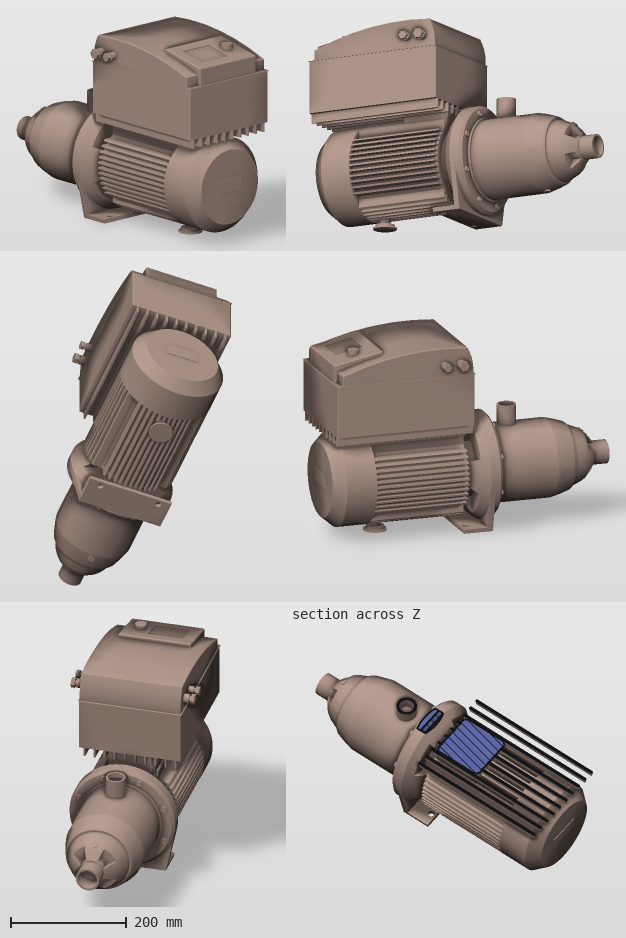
import cadquery as cq
import math


inlet_length = 27.0
nose_end = 73.0
shoulder_start = 76.5
shoulder_end = 110.0
sleeve_end = 213.0
flange_front = 219.0
bracket_front = 232.5
bracket_back = 242.0
lantern_end = 269.0
motor_front = 277.5
motor_back = 447.0
cover_shoulder = 502.0
cover_back = 522.8
overall_length = 524.0

inlet_radius = 21.0
inlet_bore_radius = 17.5
nose_front_radius = 23.0
nose_mid = (46.0, 43.5)
nose_end_radius = 54.6
shoulder_step_radius = 58.0
shoulder_start_radius = 60.5
shoulder_mid = (94.0, 66.2)
sleeve_radius = 70.0
collar_radius = 74.0
collar_thickness = 3.0
collar_neck_radius = 71.0
flange_radius = 95.0
flange_chamfer = 5.0

outlet_x = 181.8
outlet_top = 104.0
outlet_radius = 16.9
outlet_bore_radius = 14.0

nose_pocket_angle = 42.0
nose_pocket_floor_radius = 22.5
nose_pocket_back = 45.0
nose_pocket_fillet = 2.0

plug_radius = 5.7
vent_plug_top = (45.2, 45.0)
vent_plug_tilt = 41.0
vent_plug_length = 8.0
drain_plug_x = 100.0
drain_plug_bottom = -70.0
drain_plug_length = 15.0

screw_count = 8
screw_circle_radius = 82.5
screw_head_radius = 5.0
screw_head_height = 4.0
screw_socket_radius = 2.5
screw_socket_depth = 2.0

base_z = -100.0
foot_half_width = 75.5
foot_thickness = 7.5
foot_back = 285.0
foot_hole_radius = 5.5
foot_hole_y = 54.0
foot_hole_x = 276.0

lantern_mid = (258.5, 79.5)
lantern_end_radius = 59.0
window_front = 255.5
window_floor_radius = 54.5
window_angle = 45.0

spigot_radius = 60.5
core_radius = 73.0
fin_tip_radius = 84.3
fin_thickness = 3.2
fin_pitch = 9.5
fins_each_side = 5

saddle_back = 366.5
saddle_half_width = 42.5
saddle_top = 95.0
saddle_chamfer = 6.0

support_x = 422.5
support_stem_radius = 9.5
support_pad_radius = 16.5
support_base_radius = 20.5
support_pad_top = -92.0
support_base_top = -97.0

cover_radius = 84.6
cover_back_radius = 66.5
badge_half_width = 28.0
badge_bottom = -8.0
badge_top = 16.0

box_front = 271.0
box_back = 521.8
box_half_width = 91.5
box_bottom = 99.4
box_top = 192.0
box_edge_fillet = 2.0

lip_overhang = 1.4
lip_thickness = 0.3

heatsink_fin_count = 10
heatsink_fin_pitch = 18.2
heatsink_fin_thickness = 3.6
heatsink_fin_fillet = 1.2
heatsink_fin_bottom = 83.2

lid_front = 273.0
lid_front_mid = (276.5, 223.0)
lid_crest_front = 284.0
lid_back = 512.5
lid_half_width = 91.0
lid_peak_x = 334.0
lid_peak_z = 243.46
lid_crown_radius = 500.0
lid_edge_fillet = 2.0

panel_front = 430.0
panel_back = 519.5
panel_half_width = 65.5
panel_front_top = 241.5
panel_slope = 11.7
panel_edge_fillet = 2.0

screen_front = 450.8
screen_back = 500.0
screen_low_y = -44.5
screen_high_y = 17.5
screen_depth = 1.5

button_x = 475.0
button_y = 37.0
button_radius = 9.9
button_top = 241.2
button_length = 15.0

gland_tip_y = 111.0
gland_head_start = 104.0
gland_barrel_end = 101.0
gland_z = 212.8
large_gland = (296.0, 15.8, 8.2, 5.0)
small_gland = (326.0, 13.0, 6.9, 4.3)


def box_between(x0, x1, y0, y1, z0, z1):
    """Block given by its limits along each axis."""
    return cq.Workplane("XY").box(x1 - x0, y1 - y0, z1 - z0, centered=False).translate((x0, y0, z0))


def shaft_cylinder(radius, x0, x1, y=0.0, z=0.0):
    """Cylinder parallel to the shaft axis."""
    return cq.Workplane("YZ", origin=(x0, y, z)).circle(radius).extrude(x1 - x0)


def upright_cylinder(radius, x, y, z0, z1):
    """Cylinder parallel to the Z axis."""
    return cq.Workplane("XY", origin=(x, y, z0)).circle(radius).extrude(z1 - z0)


def revolve_about_shaft(profile):
    """Full turn of an XY profile about the X axis."""
    return profile.close().revolve(360, (0, 0, 0), (1, 0, 0))


def diagonal_pockets(x0, x1, floor_radius, outer_radius, angle):
    """Four wedge-shaped cutters with a round floor, one on each diagonal."""
    reach = outer_radius / math.cos(math.radians(angle / 2))
    half = math.radians(angle / 2)
    pockets = cq.Workplane("YZ")
    for quarter in range(4):
        middle = math.radians(45 + 90 * quarter)
        corners = [(reach * math.cos(a), reach * math.sin(a)) for a in (middle - half, middle + half)]
        wedge = cq.Workplane("YZ", origin=(x0, 0, 0)).polyline([(0, 0)] + corners).close().extrude(x1 - x0)
        pockets = pockets.add(wedge)
    return pockets.combine().cut(shaft_cylinder(floor_radius, x0, x1))


def make_casing():
    """Pump casing with inlet, outlet, plugs and the screwed end flange."""
    profile = (
        cq.Workplane("XY")
        .moveTo(0, 0)
        .lineTo(0, inlet_radius)
        .lineTo(inlet_length, inlet_radius)
        .lineTo(inlet_length, nose_front_radius)
        .threePointArc(nose_mid, (nose_end, nose_end_radius))
        .lineTo(nose_end, shoulder_step_radius)
        .lineTo(shoulder_start, shoulder_start_radius)
        .threePointArc(shoulder_mid, (shoulder_end, sleeve_radius))
        .lineTo(sleeve_end, sleeve_radius)
        .lineTo(sleeve_end, collar_radius)
        .lineTo(sleeve_end + collar_thickness, collar_radius)
        .lineTo(sleeve_end + collar_thickness, collar_neck_radius)
        .lineTo(flange_front, collar_neck_radius)
        .lineTo(flange_front, flange_radius - flange_chamfer)
        .lineTo(flange_front + flange_chamfer, flange_radius)
        .lineTo(bracket_front, flange_radius)
        .lineTo(bracket_front, 0)
    )
    casing = revolve_about_shaft(profile)
    pockets = diagonal_pockets(
        0, nose_pocket_back, nose_pocket_floor_radius, sleeve_radius, nose_pocket_angle
    )
    casing = casing.cut(pockets.faces(">X").edges().fillet(nose_pocket_fillet))

    casing = casing.union(upright_cylinder(outlet_radius, outlet_x, 0, 0, outlet_top))
    casing = casing.cut(upright_cylinder(outlet_bore_radius, outlet_x, 0, sleeve_radius, outlet_top))
    casing = casing.cut(shaft_cylinder(inlet_bore_radius, 0, inlet_length))

    tilt = math.radians(vent_plug_tilt)
    inward = (math.sin(tilt), 0, -math.cos(tilt))
    vent_plane = cq.Plane(origin=(vent_plug_top[0], 0, vent_plug_top[1]), xDir=(0, 1, 0), normal=inward)
    casing = casing.union(cq.Workplane(vent_plane).circle(plug_radius).extrude(vent_plug_length))
    casing = casing.union(
        upright_cylinder(
            plug_radius, drain_plug_x, 0, drain_plug_bottom, drain_plug_bottom + drain_plug_length
        )
    )

    head_front = flange_front - screw_head_height
    for index in range(screw_count):
        angle = 2 * math.pi * (index + 0.5) / screw_count
        y = screw_circle_radius * math.cos(angle)
        z = screw_circle_radius * math.sin(angle)
        casing = casing.union(shaft_cylinder(screw_head_radius, head_front, flange_front, y, z))
        casing = casing.cut(
            shaft_cylinder(screw_socket_radius, head_front, head_front + screw_socket_depth, y, z)
        )
    return casing


def make_bracket(lantern):
    """Disc with tangent sides running down to a foot plate, relieved under the lantern rim."""
    corner_distance = math.hypot(foot_half_width, base_z)
    corner_angle = math.atan2(base_z, foot_half_width)
    tangent_angle = corner_angle + math.acos(flange_radius / corner_distance)
    tangent_y = flange_radius * math.cos(tangent_angle)
    tangent_z = flange_radius * math.sin(tangent_angle)
    profile = (
        cq.Workplane("YZ", origin=(bracket_front, 0, 0))
        .moveTo(-foot_half_width, base_z)
        .lineTo(foot_half_width, base_z)
        .lineTo(tangent_y, tangent_z)
        .threePointArc((0, flange_radius), (-tangent_y, tangent_z))
        .close()
    )
    bracket = profile.extrude(foot_back - bracket_front)
    foot_top = base_z + foot_thickness
    bracket = bracket.cut(
        box_between(bracket_back, foot_back, -flange_radius, flange_radius, foot_top, flange_radius)
    )
    for side in (-1, 1):
        bracket = bracket.cut(
            upright_cylinder(foot_hole_radius, foot_hole_x, side * foot_hole_y, base_z, foot_top)
        )
    return bracket.cut(lantern)


def make_lantern():
    """Domed lantern between bracket and motor, with four windows on the diagonals."""
    profile = (
        cq.Workplane("XY")
        .moveTo(bracket_back, 0)
        .lineTo(bracket_back, flange_radius)
        .threePointArc(lantern_mid, (lantern_end, lantern_end_radius))
        .lineTo(lantern_end, 0)
    )
    windows = diagonal_pockets(
        window_front, lantern_end, window_floor_radius, flange_radius, window_angle
    )
    return revolve_about_shaft(profile).cut(windows)


def make_motor():
    """Finned motor with its front spigot, the converter saddle and the rear support."""
    fins = shaft_cylinder(core_radius, motor_front, motor_back)
    half = fin_thickness / 2
    for index in range(-fins_each_side, fins_each_side + 1):
        offset = index * fin_pitch
        low, high = offset - half, offset + half
        tip = fin_tip_radius
        fins = fins.union(box_between(motor_front, motor_back, -tip, tip, low, high))
        fins = fins.union(box_between(motor_front, motor_back, low, high, -tip, tip))
    motor = fins.intersect(shaft_cylinder(fin_tip_radius, motor_front, motor_back))
    motor = motor.union(shaft_cylinder(spigot_radius, lantern_end, motor_front))

    saddle = box_between(
        motor_front, saddle_back, -saddle_half_width, saddle_half_width, 0, saddle_top
    )
    motor = motor.union(saddle.edges("|Z").chamfer(saddle_chamfer))

    support = upright_cylinder(support_stem_radius, support_x, 0, base_z, -core_radius)
    support = support.union(
        upright_cylinder(support_pad_radius, support_x, 0, support_base_top, support_pad_top)
    )
    support = support.union(
        upright_cylinder(support_base_radius, support_x, 0, base_z, support_base_top)
    )
    return motor.union(support)


def make_fan_cover():
    """Fan cover with a conical back and a shallow badge."""
    profile = (
        cq.Workplane("XY")
        .moveTo(motor_back, 0)
        .lineTo(motor_back, cover_radius)
        .lineTo(cover_shoulder, cover_radius)
        .lineTo(cover_back, cover_back_radius)
        .lineTo(cover_back, 0)
    )
    badge = box_between(
        cover_back, overall_length, -badge_half_width, badge_half_width, badge_bottom, badge_top
    )
    return revolve_about_shaft(profile).union(badge)


def lid_crown_z(x):
    """Height of the crowned lid top at a place along X."""
    drop = lid_crown_radius - math.sqrt(lid_crown_radius**2 - (x - lid_peak_x) ** 2)
    return lid_peak_z - drop


def make_lid():
    """Crowned lid of the converter."""
    lid = (
        cq.Workplane("XZ", origin=(0, lid_half_width, 0))
        .moveTo(lid_front, box_top)
        .threePointArc(lid_front_mid, (lid_crest_front, lid_crown_z(lid_crest_front)))
        .threePointArc((lid_peak_x, lid_peak_z), (lid_back, lid_crown_z(lid_back)))
        .lineTo(lid_back, box_top)
        .close()
        .extrude(2 * lid_half_width)
    )
    return lid.edges("not <Z").fillet(lid_edge_fillet)


def make_panel():
    """Sloping operating panel with a sunk screen and a round button."""
    slope = math.tan(math.radians(panel_slope))

    def panel_top(x):
        return panel_front_top - slope * (x - panel_front)

    panel = (
        cq.Workplane("XZ", origin=(0, panel_half_width, 0))
        .moveTo(panel_front, box_top)
        .lineTo(panel_front, panel_top(panel_front))
        .lineTo(panel_back, panel_top(panel_back))
        .lineTo(panel_back, box_top)
        .close()
        .extrude(2 * panel_half_width)
    )
    panel = panel.edges("not <Z").fillet(panel_edge_fillet)
    screen = (
        cq.Workplane("XZ", origin=(0, screen_high_y, 0))
        .moveTo(screen_front, panel_top(screen_front) - screen_depth)
        .lineTo(screen_front, panel_front_top)
        .lineTo(screen_back, panel_front_top)
        .lineTo(screen_back, panel_top(screen_back) - screen_depth)
        .close()
        .extrude(screen_high_y - screen_low_y)
    )
    button = upright_cylinder(
        button_radius, button_x, button_y, button_top - button_length, button_top
    )
    return panel.cut(screen).union(button)


def make_converter(motor, fan_cover):
    """Converter housing with heatsink fins, relieved where the motor and fan cover stand."""
    housing = box_between(
        box_front, box_back, -box_half_width, box_half_width, box_bottom, box_top
    )
    housing = housing.edges("|Z").fillet(box_edge_fillet)
    lip_half_width = box_half_width + lip_overhang
    housing = housing.union(
        box_between(
            box_front - lip_overhang,
            box_back + lip_overhang,
            -lip_half_width,
            lip_half_width,
            box_top - lip_thickness,
            box_top,
        )
    )
    housing = housing.union(make_lid()).union(make_panel())
    for index in range(heatsink_fin_count):
        y = (index - (heatsink_fin_count - 1) / 2) * heatsink_fin_pitch
        half = heatsink_fin_thickness / 2
        fin = box_between(box_front, box_back, y - half, y + half, heatsink_fin_bottom, box_bottom)
        housing = housing.union(fin.edges("|Z").fillet(heatsink_fin_fillet))
    return housing.cut(motor).cut(fan_cover)


def make_gland(side, x, across_flats, barrel_radius, neck_radius):
    """Cable gland on one side of the lid: barrel, neck and hexagon head."""
    def section(start):
        plane = cq.Plane(origin=(x, side * start, gland_z), xDir=(1, 0, 0), normal=(0, side, 0))
        return cq.Workplane(plane)

    across_corners = across_flats / math.cos(math.pi / 6)
    barrel = section(lid_half_width).circle(barrel_radius).extrude(gland_barrel_end - lid_half_width)
    neck = section(gland_barrel_end).circle(neck_radius).extrude(gland_head_start - gland_barrel_end)
    head = section(gland_head_start).polygon(6, across_corners).extrude(gland_tip_y - gland_head_start)
    return barrel.union(neck).union(head)


casing = make_casing()
lantern = make_lantern()
bracket = make_bracket(lantern)
motor = make_motor()
fan_cover = make_fan_cover()
converter = make_converter(motor, fan_cover)
glands = [make_gland(side, *size) for side in (-1, 1) for size in (large_gland, small_gland)]

result = cq.Compound.makeCompound(
    [body.val() for body in [casing, bracket, lantern, motor, fan_cover, converter] + glands]
)